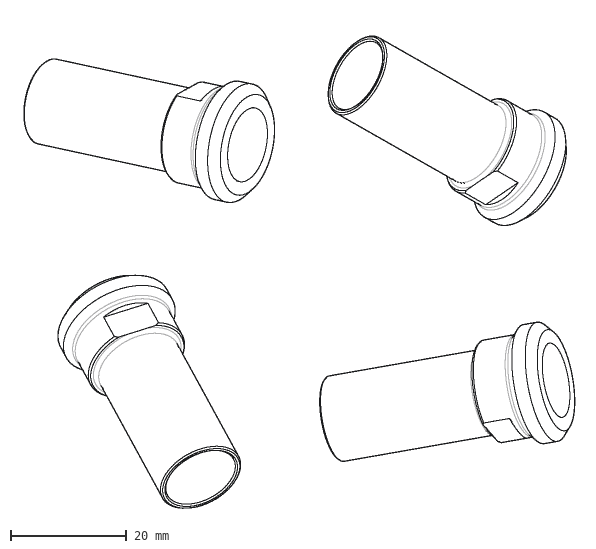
import cadquery as cq
import math

length = 41.0
tube_radius = 15.0 / 2
bore_radius = 13.0 / 2
collar_radius = 18.0 / 2
flange_radius = 20.9 / 2

end_chamfer = 0.3

collar_start = 28.82
collar_chamfer_length = 0.39
collar_chamfer_depth = 0.3
root_fillet = 0.7

rim_start = 36.9
rim_end = 39.4
back_cone_length = length - rim_end
neck_fillet = 0.8

across_flats = 16.0
flat_end = 34.0
flat_end_slope = math.radians(15)


def turned_body():
    """Revolve the outer outline and bore into a hollow body."""
    root_x = collar_start - root_fillet
    root_mid_x = root_x + root_fillet * math.sin(math.pi / 4)
    root_mid_r = tube_radius + root_fillet * (1 - math.cos(math.pi / 4))

    neck_end_r = collar_radius + neck_fillet * (1 - math.cos(math.pi / 4))
    neck_end_x = rim_start - (flange_radius - neck_end_r)
    neck_start_x = neck_end_x - neck_fillet * math.sin(math.pi / 4)
    neck_mid_x = neck_start_x + neck_fillet * math.sin(math.pi / 8)
    neck_mid_r = collar_radius + neck_fillet * (1 - math.cos(math.pi / 8))

    outline = (
        cq.Workplane("XY")
        .moveTo(end_chamfer, bore_radius)
        .lineTo(0, bore_radius + end_chamfer)
        .lineTo(0, tube_radius - end_chamfer)
        .lineTo(end_chamfer, tube_radius)
        .lineTo(root_x, tube_radius)
        .threePointArc((root_mid_x, root_mid_r), (collar_start, tube_radius + root_fillet))
        .lineTo(collar_start, collar_radius - collar_chamfer_depth)
        .lineTo(collar_start + collar_chamfer_length, collar_radius)
        .lineTo(neck_start_x, collar_radius)
        .threePointArc((neck_mid_x, neck_mid_r), (neck_end_x, neck_end_r))
        .lineTo(rim_start, flange_radius)
        .lineTo(rim_end, flange_radius)
        .lineTo(length, flange_radius - back_cone_length)
        .lineTo(length, bore_radius)
        .close()
    )
    return outline.revolve(360, (0, 0, 0), (1, 0, 0))


def flat_cutter():
    """Block that mills the top flat, with a sloped wall at its far end."""
    flat_height = across_flats / 2
    cut_depth = flange_radius - flat_height
    cutter_start = collar_start - root_fillet
    slope_run = cut_depth * math.tan(flat_end_slope)
    return (
        cq.Workplane("XZ")
        .moveTo(cutter_start, flat_height)
        .lineTo(flat_end, flat_height)
        .lineTo(flat_end + slope_run, flange_radius)
        .lineTo(cutter_start, flange_radius)
        .close()
        .extrude(flange_radius, both=True)
    )


top_flat_cutter = flat_cutter()
bottom_flat_cutter = top_flat_cutter.mirror("XY")
result = turned_body().cut(top_flat_cutter).cut(bottom_flat_cutter)